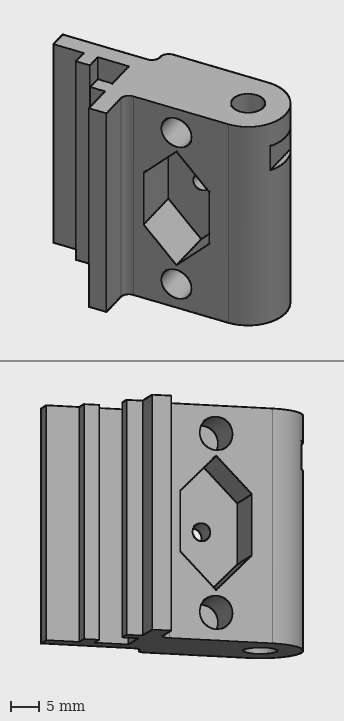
import cadquery as cq

length = 46.5
depth = 21.95
height = 42.0

barrel_radius = 7.5
flange_thickness = 3.5
flange_reach = 15.0
fillet_radius = 1.65
rib_thickness = 2.8
rib_length = 2.95
rib_setback = 6.05
pin_diameter = 6.0

body_centre_x = 28.75
dowel_diameter = 6.0
dowel_spacing = 32.0
dowel_depth = 9.3
pocket_width = 13.05
pocket_height = 24.0
pocket_depth = 9.3
screw_diameter = 3.2

notch_depth = 1.05
notch_height = 5.1
notch_top_gap = 4.8

barrel_x = length - barrel_radius
barrel_y = depth - barrel_radius
body_front_y = depth - 2 * barrel_radius
inner_x = flange_reach
wall_x = inner_x + flange_thickness
inner_y = flange_reach
flange_back_y = inner_y + flange_thickness
rib_far_side = rib_setback + rib_thickness
mid_z = height / 2


def make_profile_body():
    body = (
        cq.Workplane("XY")
        .moveTo(0, inner_y)
        .lineTo(rib_setback, inner_y)
        .lineTo(rib_setback, inner_y - rib_length)
        .lineTo(rib_far_side, inner_y - rib_length)
        .lineTo(rib_far_side, inner_y)
        .lineTo(inner_x, inner_y)
        .lineTo(inner_x, rib_far_side)
        .lineTo(inner_x - rib_length, rib_far_side)
        .lineTo(inner_x - rib_length, rib_setback)
        .lineTo(inner_x, rib_setback)
        .lineTo(inner_x, 0)
        .lineTo(wall_x, 0)
        .lineTo(wall_x, body_front_y)
        .lineTo(barrel_x, body_front_y)
        .threePointArc((length, barrel_y), (barrel_x, depth))
        .lineTo(wall_x, depth)
        .lineTo(wall_x, flange_back_y)
        .lineTo(0, flange_back_y)
        .close()
        .extrude(height)
    )
    for corner_y in (body_front_y, flange_back_y, depth):
        corner = cq.selectors.NearestToPointSelector((wall_x, corner_y, mid_z))
        body = body.edges("|Z").edges(corner).fillet(fillet_radius)
    return body


def front_plane():
    """Sketch plane on the body's front face, with its normal pointing to -Y."""
    return cq.Workplane("XZ", origin=(body_centre_x, body_front_y, mid_z))


def make_pocket():
    half_width = pocket_width / 2
    half_height = pocket_height / 2
    shoulder = half_height - half_width
    return (
        front_plane()
        .polyline([
            (0, half_height),
            (half_width, shoulder),
            (half_width, -shoulder),
            (0, -half_height),
            (-half_width, -shoulder),
            (-half_width, shoulder),
        ])
        .close()
        .extrude(-pocket_depth)
    )


def make_dowel_holes():
    return (
        front_plane()
        .rarray(0.45, dowel_spacing, 1, 2)
        .circle(dowel_diameter / 2)
        .extrude(-dowel_depth)
    )


def make_screw_hole():
    return front_plane().circle(screw_diameter / 2).extrude(-2 * barrel_radius)


def make_pin_hole():
    return cq.Workplane("XY").center(barrel_x, barrel_y).circle(pin_diameter / 2).extrude(height)


def make_notch():
    notch_bottom = height - notch_top_gap - notch_height
    return cq.Workplane("XY").box(notch_depth, depth, notch_height, centered=False).translate(
        (length - notch_depth, 0, notch_bottom)
    )


result = (
    make_profile_body()
    .cut(make_pocket())
    .cut(make_dowel_holes())
    .cut(make_screw_hole())
    .cut(make_pin_hole())
    .cut(make_notch())
)